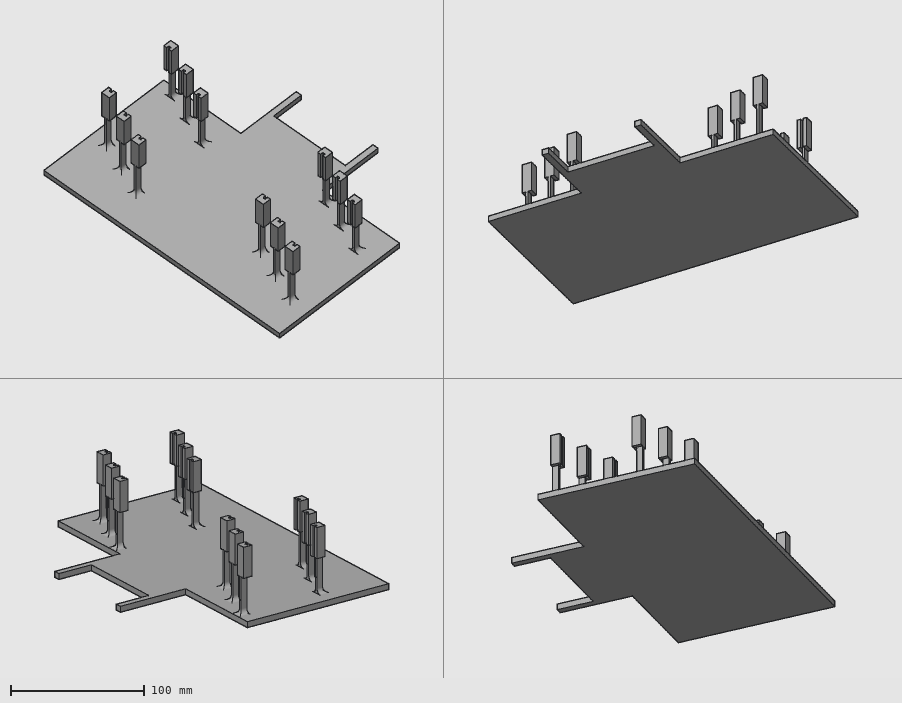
import cadquery as cq

plate_width = 245.0
plate_depth = 130.0
plate_thickness = 5.0
neck_width = 85.0
neck_depth = 60.0
arm_width = 5.5
arm_length = 30.0

overall_height = 60.0
blade_width = 2.0
blade_depth = 5.1
blade_height = 30.0
flare_radius = 4.0
head_width = 8.0
head_depth = 7.5
slot_width = blade_width
head_bottom = plate_thickness + blade_height
head_height = overall_height - head_bottom

group_count = 2
posts_per_group = 3
first_post_x = 16.0
post_pitch_x = 25.0
group_spacing_x = 160.0
post_step_y = 10.0
rear_row_inset = 5.0
front_row_y = 50.2
rear_row_y = plate_depth - rear_row_inset


def make_plate():
    neck_left = (plate_width - neck_width) / 2
    slab = cq.Workplane("XY").box(plate_width, plate_depth, plate_thickness, centered=False)
    neck = (
        cq.Workplane("XY", origin=(neck_left, plate_depth, 0))
        .box(neck_width, neck_depth, plate_thickness, centered=False)
    )
    arm_gap = (
        cq.Workplane("XY", origin=(neck_left + arm_width, plate_depth + neck_depth - arm_length, 0))
        .box(neck_width - 2 * arm_width, arm_length, plate_thickness, centered=False)
    )
    return slab.union(neck).cut(arm_gap)


def make_foot():
    """Concave flare on the left, right and outer sides, mitred at its corners and flat on the inner side."""
    half_blade = blade_width / 2
    half_foot = half_blade + flare_radius
    arc_offset = flare_radius * (1 - 0.5**0.5)
    across = (
        cq.Workplane("XZ", origin=(0, -flare_radius, 0))
        .moveTo(-half_foot, 0)
        .threePointArc((-half_blade - arc_offset, arc_offset), (-half_blade, flare_radius))
        .lineTo(half_blade, flare_radius)
        .threePointArc((half_blade + arc_offset, arc_offset), (half_foot, 0))
        .close()
        .extrude(-(flare_radius + blade_depth))
    )
    along = (
        cq.Workplane("YZ")
        .moveTo(-flare_radius, 0)
        .threePointArc((-arc_offset, arc_offset), (0, flare_radius))
        .lineTo(blade_depth, flare_radius)
        .lineTo(blade_depth, 0)
        .close()
        .extrude(half_foot, both=True)
    )
    return across.intersect(along).translate((0, 0, plate_thickness))


def make_post():
    """Post with its outer face on Y = 0 and its slot facing +Y, standing at plate height."""
    blade = (
        cq.Workplane("XY", origin=(0, 0, plate_thickness))
        .box(blade_width, blade_depth, blade_height, centered=(True, False, False))
    )
    head = (
        cq.Workplane("XY", origin=(0, 0, head_bottom))
        .box(head_width, head_depth, head_height, centered=(True, False, False))
    )
    slot = (
        cq.Workplane("XY", origin=(0, blade_depth, head_bottom))
        .box(slot_width, head_depth - blade_depth, head_height, centered=(True, False, False))
    )
    return blade.union(make_foot()).union(head.cut(slot))


front_post = make_post()
rear_post = front_post.mirror("XZ")

result = make_plate()
for group in range(group_count):
    for index in range(posts_per_group):
        x = first_post_x + group * group_spacing_x + index * post_pitch_x
        step_back = index * post_step_y
        result = result.union(front_post.translate((x, front_row_y - step_back, 0)))
        result = result.union(rear_post.translate((x, rear_row_y - step_back, 0)))